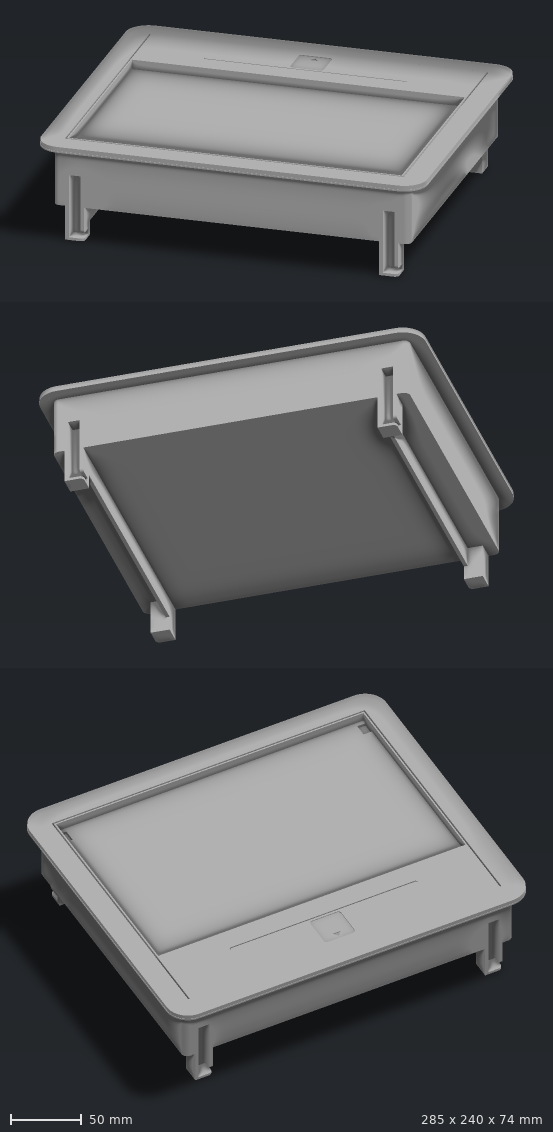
import cadquery as cq

LENGTH = 285.0
DEPTH = 240.0
HEIGHT = 74.0

FLANGE_RADIUS = 17.0
PLATE_THICKNESS = 3.0
LIP_THICKNESS = 1.0
PLATE_INSET = 0.3
FLANGE_THICKNESS = PLATE_THICKNESS + LIP_THICKNESS

BOX_LENGTH = 263.0
BOX_DEPTH = 218.3
BOX_RADIUS = 4.5
BOX_BOTTOM = 25.6

LEG_SIZE = 14.0
LEG_INSET = 8.8
LEG_X = BOX_LENGTH / 2 - LEG_INSET - LEG_SIZE / 2

SLOT_WIDTH = 8.5
SLOT_DEPTH = 10.8
SLOT_FLOOR = 2.0
SLOT_TOP = 49.3
SIDE_OPENING_TOP = 6.3
FOOT_RADIUS = 3.0
FINGER_RADIUS = 2.3

RAIL_BOTTOM = 10.8
RAIL_THICKNESS = 2.8

OPENING_LENGTH = 250.0
OPENING_DEPTH = 205.8
OPENING_BACK = OPENING_DEPTH / 2

LID_GAP = 1.0
LID_LENGTH = OPENING_LENGTH - 2 * LID_GAP
LID_DEPTH = OPENING_DEPTH - LID_GAP
LID_FRONT = OPENING_BACK - LID_DEPTH
STRIP_DEPTH = 49.5
TRAY_RIM = 1.0
TRAY_DEPTH = 7.0
TRAY_FLOOR = 2.3
LID_THICKNESS = TRAY_DEPTH + TRAY_FLOOR
TRAY_LENGTH = LID_LENGTH - 2 * TRAY_RIM
TRAY_FRONT = LID_FRONT + TRAY_RIM
TRAY_BACK = OPENING_BACK - STRIP_DEPTH

CORNER_HOLE_LENGTH = 6.5
CORNER_HOLE_DEPTH = 9.7
CORNER_HOLE_SETBACK = 3.0

FLAP_LENGTH = 150.0
FLAP_DEPTH = 32.5
FLAP_THICKNESS = TRAY_DEPTH
FLAP_GAP = 0.9
FLAP_RADIUS = 1.7

SQUARE_SIZE = 24.5
SQUARE_RADIUS = 2.3
SQUARE_SETBACK = 6.3
SQUARE_SINK = 0.5
NOTCH_WIDTH = 6.3
NOTCH_LENGTH = 3.7
NOTCH_SETBACK = 12.5
NOTCH_SINK = 0.5


def block(x_size, y_front, y_back, z_low, z_high, x_middle=0.0):
    """Box centred on x_middle, between the given Y and Z limits."""
    return cq.Workplane("XY").box(
        x_size, y_back - y_front, z_high - z_low, centered=(True, False, False)
    ).translate((x_middle, y_front, z_low))


def rounded_plate(length, depth, radius, z_low, z_high):
    """Centred plate with rounded vertical corners."""
    return block(length, -depth / 2, depth / 2, z_low, z_high).edges("|Z").fillet(radius)


def make_leg(x_middle):
    """Front leg, up to the underside of the box."""
    front = -BOX_DEPTH / 2
    slot_back = front + SLOT_DEPTH
    leg = block(LEG_SIZE, front, front + LEG_SIZE, 0, BOX_BOTTOM, x_middle)
    leg = leg.edges("|Z and >X and <Y").fillet(FOOT_RADIUS)
    finger_x = x_middle + LEG_SIZE / 2 - FOOT_RADIUS / 2
    finger = block(FOOT_RADIUS, front, slot_back, SIDE_OPENING_TOP, BOX_BOTTOM, finger_x)
    finger = finger.edges("|X and <Y and <Z").fillet(FINGER_RADIUS)
    side_length = (LEG_SIZE + SLOT_WIDTH) / 2
    side_x = x_middle - SLOT_WIDTH / 2 + side_length / 2
    side_opening = block(side_length, front, slot_back, SLOT_FLOOR, BOX_BOTTOM, side_x)
    return leg.cut(side_opening).union(finger)


def make_leg_slot(x_middle):
    """Groove cut into the front of a leg and on up into the box."""
    front = -BOX_DEPTH / 2
    return block(SLOT_WIDTH, front, front + SLOT_DEPTH, SLOT_FLOOR, SLOT_TOP, x_middle)


def make_housing():
    lip_bottom = HEIGHT - FLANGE_THICKNESS
    plate_bottom = HEIGHT - PLATE_THICKNESS
    housing = rounded_plate(BOX_LENGTH, BOX_DEPTH, BOX_RADIUS, BOX_BOTTOM, lip_bottom)
    housing = housing.union(rounded_plate(LENGTH, DEPTH, FLANGE_RADIUS, lip_bottom, plate_bottom))
    plate_length = LENGTH - 2 * PLATE_INSET
    plate_depth = DEPTH - 2 * PLATE_INSET
    plate_radius = FLANGE_RADIUS - PLATE_INSET
    housing = housing.union(rounded_plate(plate_length, plate_depth, plate_radius, plate_bottom, HEIGHT))

    for turn in (0, 180):
        for leg_x in (-LEG_X, LEG_X):
            leg = make_leg(leg_x).rotate((0, 0, 0), (0, 0, 1), turn)
            slot = make_leg_slot(leg_x).rotate((0, 0, 0), (0, 0, 1), turn)
            housing = housing.union(leg).cut(slot)

    rail_end = BOX_DEPTH / 2 - LEG_SIZE
    rail_x = LEG_X - LEG_SIZE / 2 + RAIL_THICKNESS / 2
    for side in (-1, 1):
        rail = block(RAIL_THICKNESS, -rail_end, rail_end, RAIL_BOTTOM, BOX_BOTTOM, side * rail_x)
        housing = housing.union(rail)

    lid_seat = block(OPENING_LENGTH, -OPENING_BACK, OPENING_BACK, HEIGHT - LID_THICKNESS, HEIGHT)
    return housing.cut(lid_seat)


def flap_blank(depth):
    """Flap outline, running forward from the back of the lid, with rounded front corners."""
    blank = block(FLAP_LENGTH, OPENING_BACK - depth, OPENING_BACK, HEIGHT - FLAP_THICKNESS, HEIGHT)
    return blank.edges("|Z and <Y").fillet(FLAP_RADIUS)


def make_lid():
    lid_bottom = HEIGHT - LID_THICKNESS
    tray_floor_top = HEIGHT - TRAY_DEPTH
    lid = block(LID_LENGTH, LID_FRONT, OPENING_BACK, lid_bottom, HEIGHT)
    lid = lid.cut(block(TRAY_LENGTH, TRAY_FRONT, TRAY_BACK, tray_floor_top, HEIGHT))

    hole_front = TRAY_FRONT + CORNER_HOLE_SETBACK
    hole_back = hole_front + CORNER_HOLE_DEPTH
    hole_x = TRAY_LENGTH / 2 - CORNER_HOLE_LENGTH / 2
    for side in (-1, 1):
        hole = block(CORNER_HOLE_LENGTH, hole_front, hole_back, lid_bottom, tray_floor_top, side * hole_x)
        lid = lid.cut(hole)

    flap_seat = flap_blank(FLAP_DEPTH + FLAP_GAP)
    return lid.cut(flap_seat)


def make_flap():
    square_back = OPENING_BACK - SQUARE_SETBACK
    square_floor = HEIGHT - SQUARE_SINK
    square = block(SQUARE_SIZE, square_back - SQUARE_SIZE, square_back, square_floor, HEIGHT)
    square = square.edges("|Z").fillet(SQUARE_RADIUS)

    notch_y = OPENING_BACK - NOTCH_SETBACK
    notch = (
        cq.Workplane("XY", origin=(0, notch_y, square_floor - NOTCH_SINK))
        .polyline([(-NOTCH_WIDTH / 2, 0), (NOTCH_WIDTH / 2, 0), (0, NOTCH_LENGTH)])
        .close()
        .extrude(NOTCH_SINK)
    )
    return flap_blank(FLAP_DEPTH).cut(square).cut(notch)


housing = make_housing()
lid = make_lid()
flap = make_flap()

result = cq.Compound.makeCompound([housing.val(), lid.val(), flap.val()])